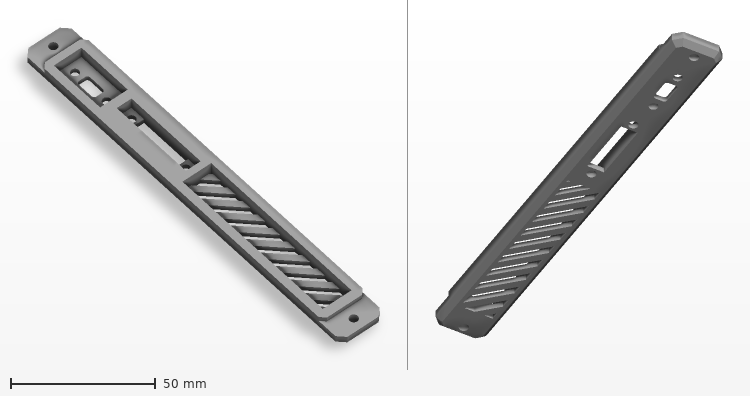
import cadquery as cq

length = 171.0
width = 20.0
height = 7.0
step_height = 2.0
base_height = height - step_height
base_corner = 2.9
bottom_bevel = 2.0
floor_thickness = 2.0

raised_length = 151.2
raised_corner = 2.0
ear_hole_spacing = 161.0
ear_hole_diameter = 3.6

small_x = -60.0
small_y = -0.3
small_length = 24.8
small_width = 12.5
opening_length = 9.2
opening_width = 5.1
opening_radius = 1.2
small_hole_spacing = 17.0
small_hole_diameter = 3.5

long_x = -25.1
long_y = 0.94
long_length = 37.1
long_width = 6.7
window_length = 23.6
long_hole_spacing = 29.2
long_hole_diameter = 3.6

vent_left = -3.6
vent_length = 75.2
vent_width = 13.0
vent_x = vent_left + vent_length / 2
slot_row_length = 72.0
slot_last = 9
slot_pitch = slot_row_length / slot_last
slot_width = slot_pitch / 2
slot_lean = vent_width
slot_first = -2


def block(x, y, size_x, size_y, bottom, top):
    """Upright box centred at (x, y) between two heights."""
    return (
        cq.Workplane("XY", origin=(x, y, bottom))
        .rect(size_x, size_y)
        .extrude(top - bottom)
    )


def through_holes(x, y, spacing, diameter):
    """Pair of vertical holes spaced along X about (x, y)."""
    return (
        cq.Workplane("XY", origin=(x, y, 0))
        .pushPoints([(-spacing / 2, 0), (spacing / 2, 0)])
        .circle(diameter / 2)
        .extrude(height)
    )


def make_body():
    base = block(0, 0, length, width, 0, base_height)
    base = base.edges("|Z").chamfer(base_corner)
    base = base.faces("<Z").edges().chamfer(bottom_bevel)
    raised = block(0, 0, raised_length, width, base_height, height)
    raised = raised.edges("|Z").chamfer(raised_corner)
    return base.union(raised)


def make_small_pocket():
    recess = block(small_x, small_y, small_length, small_width, floor_thickness, height)
    opening = block(small_x, small_y, opening_length, opening_width, 0, height)
    opening = opening.edges("|Z").fillet(opening_radius)
    holes = through_holes(small_x, small_y, small_hole_spacing, small_hole_diameter)
    return recess.union(opening).union(holes)


def make_long_pocket():
    recess = block(long_x, long_y, long_length, long_width, floor_thickness, height)
    window = block(long_x, long_y, window_length, long_width, 0, height)
    holes = through_holes(long_x, long_y, long_hole_spacing, long_hole_diameter)
    return recess.union(window).union(holes)


def make_vent():
    recess = block(vent_x, 0, vent_length, vent_width, floor_thickness, height)
    outline = block(vent_x, 0, vent_length, vent_width, 0, height)
    slots = cq.Workplane("XY")
    for index in range(slot_first, slot_last + 1):
        start = vent_left + index * slot_pitch
        slots = slots.add(
            cq.Workplane("XY")
            .moveTo(start, -vent_width / 2)
            .line(slot_width, 0)
            .line(slot_lean, vent_width)
            .line(-slot_width, 0)
            .close()
            .extrude(floor_thickness)
        )
    return recess.union(outline.intersect(slots.combine()))


ear_holes = through_holes(0, 0, ear_hole_spacing, ear_hole_diameter)

result = (
    make_body()
    .cut(ear_holes)
    .cut(make_small_pocket())
    .cut(make_long_pocket())
    .cut(make_vent())
)